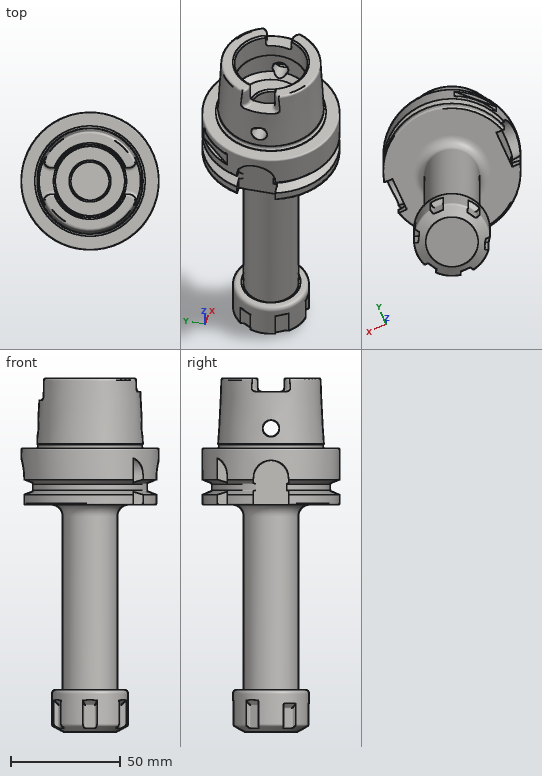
import cadquery as cq
import math

total_height = 162.0
flange_top = 130.0
flange_bottom = 104.0
nut_height = 19.5

taper_base_radius = 24.3
taper_slope = 0.05
taper_bottom = 131.9
rim_fillet = 1.1
relief_radius = 24.0
relief_mouth_radius = 25.3
relief_depth = 0.3
relief_fillet = 1.0

bore_radius = 16.7
bore_chamfer = 0.8
undercut_top = 149.7
undercut_radius = 19.3
undercut_bottom = 136.7
bore_floor_radius = 15.9
bore_floor = 134.8
centre_hole_radius = 8.7
centre_hole_chamfer = 0.8
centre_hole_depth = 9.7
cross_hole_radius = 3.7
cross_hole_z = 139.0

flange_diameter = 63.0
flange_radius = flange_diameter / 2
flange_fillet = 0.8
groove_z = 112.1
groove_mouth = 7.0
groove_radius = 27.2
groove_flank_height = 1.8
groove_floor_fillet = 0.5

neck_radius = 12.6
neck_fillet = 5.0
nut_radius = 17.5
nut_top_fillet = 2.0
nut_nose_radius = 12.0
nut_nose_height = 2.9
nut_nose_fillet = 1.3
nut_recess_width = 1.0
nut_recess_depth = 0.6

nut_slot_count = 6
nut_slot_first_angle = 30.0
nut_slot_mouth_width = 6.6
nut_slot_floor_width = 5.0
nut_slot_floor_fillet = 0.6
nut_slot_floor_radius = 15.2
nut_slot_tall_top = 14.7
nut_slot_short_top = 13.3
nut_slot_runout = 2.3

drive_half_width = 6.0
drive_corner_radius = 3.9
drive_corner_start = 17.5
drive_floor_fillet = 1.6
drive_floor_left = 152.0
drive_floor_right = 155.8

keyway_floor = 26.2
keyway_left_width = 18.0
keyway_right_width = 16.0
keyway_arc_z = 116.3
notch_floor = 19.8
notch_wall = 20.1
notch_arc_radius = 9.0
notch_arc_z = 117.6
flat_distance = 29.8
flat_angle = 135.0
flat_bottom = 119.9
flat_height = 6.5

clearance = 16.2
slot_overrun = 1.6


def ring_edge(body, radius, height):
    """The circular edge of a turned body with this radius at this height."""
    tolerance = 0.02
    for edge in body.edges("%CIRCLE").vals():
        if abs(edge.radius() - radius) < tolerance and abs(edge.Center().z - height) < tolerance:
            return edge
    raise ValueError("no such ring edge")


def turned_body():
    """Outer shape of the holder and nut, revolved about Z."""
    taper_top_radius = taper_base_radius - taper_slope * (total_height - taper_bottom)
    relief_step = taper_base_radius - relief_radius
    groove_top = groove_z + groove_mouth / 2
    groove_bottom = groove_z - groove_mouth / 2
    outline = [
        (0, 0),
        (nut_nose_radius, 0),
        (nut_radius, nut_nose_height),
        (nut_radius, nut_height),
        (neck_radius + nut_recess_width, nut_height),
        (neck_radius, nut_height - nut_recess_depth),
        (neck_radius, flange_bottom),
        (flange_radius, flange_bottom),
        (flange_radius, groove_bottom),
        (groove_radius, groove_bottom + groove_flank_height),
        (groove_radius, groove_top - groove_flank_height),
        (flange_radius, groove_top),
        (flange_radius, flange_top),
        (relief_mouth_radius, flange_top),
        (relief_mouth_radius, flange_top - relief_depth),
        (relief_radius, flange_top - relief_depth),
        (relief_radius, taper_bottom - relief_step),
        (taper_base_radius, taper_bottom),
        (taper_top_radius, total_height),
        (0, total_height),
    ]
    body = cq.Workplane("XZ").polyline(outline).close().revolve(360, (0, 0, 0), (0, 1, 0))

    roundings = [
        (flange_radius, flange_top, flange_fillet),
        (flange_radius, flange_bottom, flange_fillet),
        (relief_radius, flange_top - relief_depth, relief_fillet),
        (groove_radius, groove_top - groove_flank_height, groove_floor_fillet),
        (groove_radius, groove_bottom + groove_flank_height, groove_floor_fillet),
        (neck_radius, flange_bottom, neck_fillet),
        (nut_radius, nut_height, nut_top_fillet),
        (nut_radius, nut_nose_height, nut_nose_fillet),
    ]
    for radius, height, fillet in roundings:
        body = body.newObject([ring_edge(body, radius, height)]).fillet(fillet)
    return body


def bore():
    """Stepped bore with an undercut and a chamfered centre hole."""
    hole_bottom = bore_floor - centre_hole_depth
    outline = [
        (0, hole_bottom),
        (centre_hole_radius, hole_bottom),
        (centre_hole_radius, bore_floor - centre_hole_chamfer),
        (centre_hole_radius + centre_hole_chamfer, bore_floor),
        (bore_floor_radius, bore_floor),
        (undercut_radius, undercut_bottom),
        (undercut_radius, undercut_top),
        (bore_radius, undercut_top),
        (bore_radius, total_height - bore_chamfer),
        (bore_radius + bore_chamfer, total_height),
        (0, total_height),
    ]
    return cq.Workplane("XZ").polyline(outline).close().revolve(360, (0, 0, 0), (0, 1, 0))


def cross_hole():
    """Hole along X right through the taper."""
    return (
        cq.Workplane("YZ")
        .center(0, cross_hole_z)
        .circle(cross_hole_radius)
        .extrude(flange_radius, both=True)
    )


def drive_slot(floor_z):
    """Rim slot on the +X side whose mouth flares around rounded corners."""
    flare_x = drive_corner_start + drive_corner_radius
    flare_y = drive_half_width + drive_corner_radius
    arc_reach = drive_corner_radius * math.sqrt(0.5)
    mid_x = drive_corner_start + arc_reach
    mid_y = flare_y - arc_reach
    return (
        cq.Workplane("XY")
        .workplane(offset=floor_z)
        .moveTo(0, -drive_half_width)
        .lineTo(drive_corner_start, -drive_half_width)
        .threePointArc((mid_x, -mid_y), (flare_x, -flare_y))
        .lineTo(flange_radius, -flare_y)
        .lineTo(flange_radius, flare_y)
        .lineTo(flare_x, flare_y)
        .threePointArc((mid_x, mid_y), (drive_corner_start, drive_half_width))
        .lineTo(0, drive_half_width)
        .close()
        .extrude(clearance)
        .faces("<Z")
        .edges("not(<X or >X)")
        .fillet(drive_floor_fillet)
    )


def arched_slot(floor_x, centre_y, arc_z, radius):
    """Round-topped slot cut from +X, open through the flange bottom."""
    bottom = flange_bottom - slot_overrun
    return (
        cq.Workplane("YZ")
        .workplane(offset=floor_x)
        .moveTo(centre_y - radius, bottom)
        .lineTo(centre_y + radius, bottom)
        .lineTo(centre_y + radius, arc_z)
        .threePointArc((centre_y, arc_z + radius), (centre_y - radius, arc_z))
        .close()
        .extrude(clearance)
    )


def keyway(width):
    """Drive keyway centred on the +X side of the flange."""
    return arched_slot(keyway_floor, 0, keyway_arc_z, width / 2)


def corner_notch():
    """Orientation notch in the +X, -Y quarter of the flange."""
    centre_y = -notch_wall - notch_arc_radius
    return arched_slot(notch_floor, centre_y, notch_arc_z, notch_arc_radius)


def rim_flat():
    """Rectangular flat on the flange rim."""
    return (
        cq.Workplane("XY")
        .box(clearance, 2 * flange_radius, flat_height, centered=(False, True, False))
        .translate((flat_distance, 0, flat_bottom))
        .rotate((0, 0, 0), (0, 0, 1), flat_angle)
    )


def nut_slot(angle, top):
    """Wrench slot with sloping walls and roof, open at the nut nose."""
    depth = nut_radius - nut_slot_floor_radius
    bottom = -clearance
    floor_height = top - nut_slot_runout - bottom
    mouth_height = top - bottom
    return (
        cq.Workplane("YZ")
        .workplane(offset=nut_slot_floor_radius)
        .center(0, bottom + floor_height / 2)
        .rect(nut_slot_floor_width, floor_height)
        .workplane(offset=depth)
        .center(0, nut_slot_runout / 2)
        .rect(nut_slot_mouth_width, mouth_height)
        .loft(ruled=True)
        .edges("<X and (not <Z)")
        .fillet(nut_slot_floor_fillet)
        .rotate((0, 0, 0), (0, 0, 1), angle)
    )


def opposite(cutter):
    """The same cutter moved to the opposite side of the axis."""
    return cutter.rotate((0, 0, 0), (0, 0, 1), 180)


result = turned_body()
result = result.cut(drive_slot(drive_floor_right))
result = result.cut(opposite(drive_slot(drive_floor_left)))
result = result.faces(">Z").edges().fillet(rim_fillet)
result = result.cut(bore()).cut(cross_hole())
result = result.cut(keyway(keyway_right_width))
result = result.cut(opposite(keyway(keyway_left_width)))
result = result.cut(corner_notch())
result = result.cut(rim_flat())

for index in range(nut_slot_count):
    slot_angle = nut_slot_first_angle + index * 360 / nut_slot_count
    slot_top = nut_slot_short_top if slot_angle < 180 else nut_slot_tall_top
    result = result.cut(nut_slot(slot_angle, slot_top))